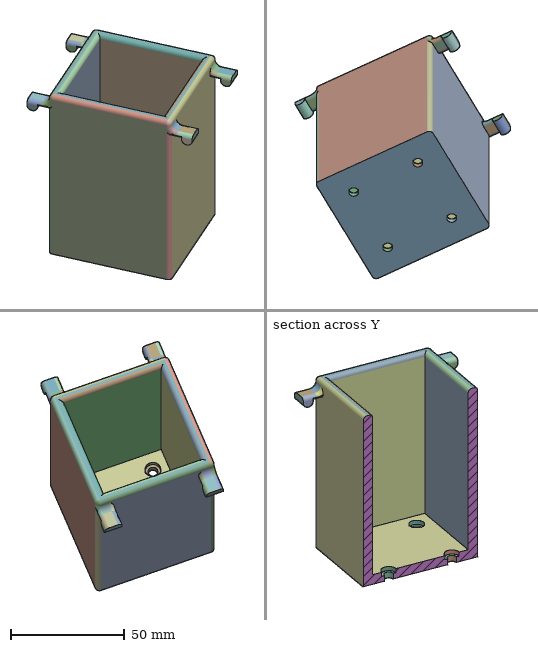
import cadquery as cq

height = 85
box_length = 58.0
box_width = 56.0
wall = 5.0
edge_radius = 1.95

hole_diameter = 4.3
counterbore_diameter = 7.0
counterbore_depth = 2.0
hole_spacing = 32.0

span = 78.0
hook_width = 8.1
arm_top = height - 5.0
arm_thickness = 2.5
arm_bottom = arm_top - arm_thickness
tip_length = 5.0
root_radius = 3.0

side_x = box_length / 2
tip_x = span / 2
neck_x = tip_x - tip_length
inner_x = side_x - wall / 2
outer_y = box_width / 2
inner_y = outer_y - hook_width


def make_box():
    """Open box with rounded upright edges and a rim rounded inside and out."""
    outside = (
        cq.Workplane("XY")
        .box(box_length, box_width, height, centered=(True, True, False))
        .edges("|Z")
        .fillet(edge_radius)
    )
    cavity = (
        cq.Workplane("XY")
        .workplane(offset=wall)
        .rect(box_length - 2 * wall, box_width - 2 * wall)
        .extrude(height - wall)
    )
    return outside.cut(cavity).faces(">Z").edges().fillet(edge_radius)


def hole_cylinders(diameter, bottom_z):
    """Four cylinders in a square, from bottom_z up to the inside of the floor."""
    return (
        cq.Workplane("XY", origin=(0, 0, bottom_z))
        .rect(hole_spacing, hole_spacing, forConstruction=True)
        .vertices()
        .circle(diameter / 2)
        .extrude(wall - bottom_z)
    )


def cut_floor_holes(box):
    """Four through holes, counterbored from inside the box."""
    drills = hole_cylinders(hole_diameter, 0)
    counterbores = hole_cylinders(counterbore_diameter, wall - counterbore_depth)
    return box.cut(drills).cut(counterbores)


def hook_block(start_x, end_x, bottom_z, top_z):
    """Block across the full hook width."""
    size = (end_x - start_x, hook_width, top_z - bottom_z)
    return cq.Workplane("XY").box(*size, centered=False).translate((start_x, inner_y, bottom_z))


def make_hook():
    """Hook at the +X, +Y corner: a flared arm ending in a half-round lip."""
    root_top = arm_top + root_radius
    flared = (
        cq.Workplane("XZ", origin=(0, outer_y, 0))
        .moveTo(inner_x, arm_bottom - edge_radius)
        .lineTo(tip_x, arm_bottom - edge_radius)
        .lineTo(tip_x, arm_top)
        .lineTo(side_x + root_radius, arm_top)
        .radiusArc((side_x, root_top), root_radius)
        .lineTo(inner_x, root_top)
        .close()
        .extrude(hook_width)
    )
    margin = 0.85
    sweep_edges = cq.selectors.BoxSelector(
        (side_x, inner_y - margin, arm_top - margin),
        (tip_x, outer_y + margin, root_top + margin),
    )
    flared = flared.edges(sweep_edges).edges("not |Y").edges("not |Z").fillet(edge_radius)

    rounded_underside = hook_block(inner_x, tip_x, arm_bottom, height).edges("|X and <Z").fillet(edge_radius)
    square_tip = hook_block(neck_x, tip_x, arm_bottom, height)
    arm = flared.intersect(rounded_underside.union(square_tip))

    lip = (
        cq.Workplane("XZ", origin=(0, outer_y, 0))
        .moveTo(neck_x, arm_bottom)
        .radiusArc((tip_x, arm_bottom), -tip_length / 2)
        .close()
        .extrude(hook_width)
    )
    return arm.union(lip)


result = cut_floor_holes(make_box())
hook = make_hook()
hook_pair = hook.union(hook.mirror("YZ"))
result = result.union(hook_pair).union(hook_pair.mirror("XZ"))